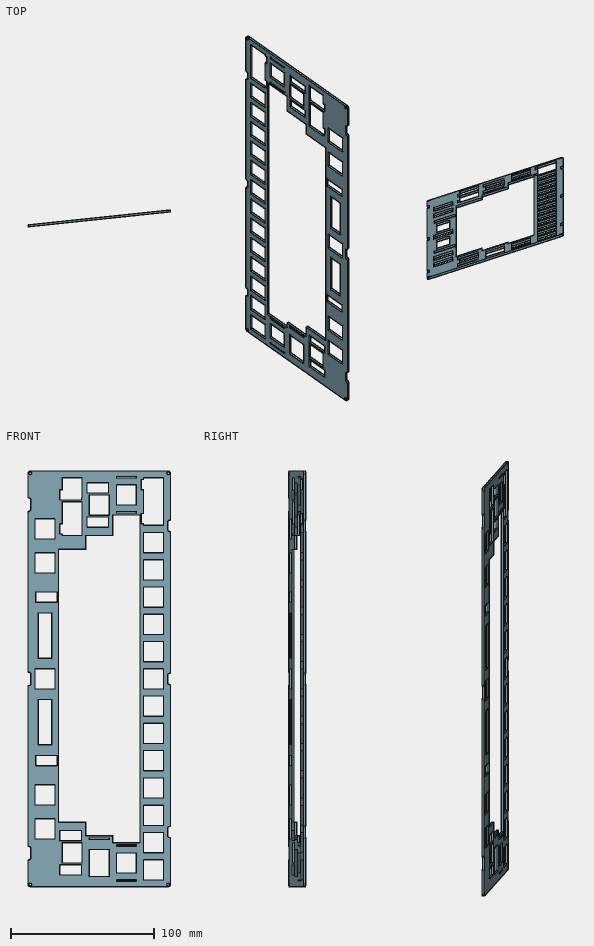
import cadquery as cq


LENGTH = 290.5
MARGIN = 2.38
THICKNESS = 1.5
TILT = 6.0
LENGTH_IN_KEYS = 15
ROW_COUNT = 5
CORNER_RADIUS = 1.9
CORNER_HOLE_DIAMETER = 1.85
CORNER_HOLE_INSET = 1.6

TAB_KEY = 3 / 2
CAPS_KEY = 7 / 4
STEPPED_CAPS_KEY = 5 / 4
ENTER_KEY = 9 / 4
LEFT_SHIFT_KEY = 9 / 4
RIGHT_SHIFT_KEY = 11 / 4
SPLIT_SHIFT_KEY = 7 / 4
BACKSPACE_KEY = 2
SINGLE_KEY = 1
BOTTOM_CORNER_KEY = 3 / 2
INNER_MODIFIER_KEY = 3 / 2

SWITCH = 14.0
STABILIZER_X = 15.0
STABILIZER_Z = 7.0
STABILIZER_SHIFT = 1.05
STABILIZER_OFFSET = 12.0

SPACEBAR_WINDOW_X = 9.5
SPACEBAR_WINDOW_Z = 31.5
SPACEBAR_WINDOW_OFFSET = 30.2

FLEX_SLOT_Z = 1.0
FLEX_SLOT_INSET = 2.0

NOTCH_RADIUS = 0.93
NOTCH_DEPTH = 2 * NOTCH_RADIUS
LEFT_NOTCH_LENGTH = 9.0
LEFT_NOTCH_OFFSET = 121.7
RIGHT_NOTCH_LENGTH = 7.5
RIGHT_NOTCH_OFFSET = 107.0

PITCH = (LENGTH - 2 * MARGIN) / LENGTH_IN_KEYS
WIDTH = ROW_COUNT * PITCH + 2 * MARGIN
SPACEBAR_STABILIZER_OFFSET = 3 * PITCH
CUT_DEPTH = 4 * THICKNESS

SPACE_ROW, SHIFT_ROW, HOME_ROW, TAB_ROW, NUMBER_ROW = [
    (row - (ROW_COUNT - 1) / 2) * PITCH for row in range(ROW_COUNT)
]


def key_centre(length, beyond=0):
    """Distance from plate centre to a key's centre, with other keys taking up the space beyond it."""
    return LENGTH_IN_KEYS / 2 - beyond - length / 2


def inner_edge(length):
    """Distance from plate centre to the inner edge of the end key of a row."""
    return LENGTH_IN_KEYS / 2 - length


def cutter(x, z, size_x, size_z):
    """Block through the plate, centred at (x, z)."""
    return cq.Workplane("XY").box(size_x, CUT_DEPTH, size_z).translate((x, 0, z))


def switch_hole(row, first_key, last_key=None):
    """Switch hole at a key position, stretched to a second position if given (in key units)."""
    last_key = first_key if last_key is None else last_key
    middle = (first_key + last_key) / 2 * PITCH
    return cutter(row, middle, SWITCH, abs(last_key - first_key) * PITCH + SWITCH)


def stabilizer_holes(row, key, offset, shift):
    """Pair of stabilizer holes on either side of a wide key."""
    return [
        cutter(row + shift, key * PITCH + side * offset, STABILIZER_X, STABILIZER_Z)
        for side in (-1, 1)
    ]


def flex_slot(row, boundary, direction):
    """Thin slot beside a key boundary, set in toward the given Z direction."""
    return cutter(row, boundary * PITCH + direction * FLEX_SLOT_INSET, SWITCH, FLEX_SLOT_Z)


def edge_notches(side, length, offset):
    """Three notches in the -X (side -1) or +X (side 1) edge.

    Each end is an S-curve of two quarter arcs; the length is measured at mid-depth.
    """
    edge = side * WIDTH / 2
    mid_depth = edge - side * NOTCH_RADIUS
    floor = edge - side * NOTCH_DEPTH
    half = length / 2
    notch = (
        cq.Workplane("XZ", origin=(0, CUT_DEPTH / 2, 0))
        .moveTo(floor, 0)
        .lineTo(floor, half - NOTCH_RADIUS)
        .tangentArcPoint((mid_depth, half), relative=False)
        .tangentArcPoint((edge, half + NOTCH_RADIUS), relative=False)
        .lineTo(edge, 0)
        .mirrorX()
        .extrude(CUT_DEPTH)
    )
    return [notch.translate((0, 0, z)) for z in (-offset, 0, offset)]


def central_opening():
    """Stepped opening over the letter keys; each row has its own lower and upper key limit."""
    limits = [
        (SHIFT_ROW, -inner_edge(LEFT_SHIFT_KEY), inner_edge(RIGHT_SHIFT_KEY)),
        (HOME_ROW, -inner_edge(CAPS_KEY), inner_edge(ENTER_KEY)),
        (TAB_ROW, -inner_edge(TAB_KEY), inner_edge(TAB_KEY)),
    ]
    return [
        cutter(row, (low + high) / 2 * PITCH, PITCH, (high - low) * PITCH)
        for row, low, high in limits
    ]


cutters = central_opening()

cutters += [switch_hole(NUMBER_ROW, key) for key in range(-7, 6)]
cutters += [switch_hole(NUMBER_ROW, 6, 7)]
backspace = key_centre(BACKSPACE_KEY)
cutters += stabilizer_holes(NUMBER_ROW, backspace, STABILIZER_OFFSET, -STABILIZER_SHIFT)

for key in (-key_centre(TAB_KEY), key_centre(TAB_KEY)):
    cutters.append(switch_hole(TAB_ROW, key))
    cutters.append(flex_slot(TAB_ROW, key - TAB_KEY / 2, 1))
    cutters.append(flex_slot(TAB_ROW, key + TAB_KEY / 2, -1))

cutters.append(switch_hole(HOME_ROW, -key_centre(STEPPED_CAPS_KEY), -key_centre(CAPS_KEY)))
cutters.append(flex_slot(HOME_ROW, -inner_edge(CAPS_KEY), -1))
enter = key_centre(ENTER_KEY)
cutters.append(switch_hole(HOME_ROW, enter))
cutters += stabilizer_holes(HOME_ROW, enter, STABILIZER_OFFSET, -STABILIZER_SHIFT)

left_shift = -key_centre(LEFT_SHIFT_KEY)
cutters.append(switch_hole(SHIFT_ROW, left_shift))
cutters += stabilizer_holes(SHIFT_ROW, left_shift, STABILIZER_OFFSET, -STABILIZER_SHIFT)
right_shift = key_centre(RIGHT_SHIFT_KEY)
split_shift = key_centre(SPLIT_SHIFT_KEY, beyond=SINGLE_KEY)
cutters.append(switch_hole(SHIFT_ROW, key_centre(SINGLE_KEY)))
cutters.append(switch_hole(SHIFT_ROW, split_shift, right_shift))
cutters += stabilizer_holes(SHIFT_ROW, right_shift, STABILIZER_OFFSET, -STABILIZER_SHIFT)

cutters.append(switch_hole(SPACE_ROW, 0))
cutters += stabilizer_holes(SPACE_ROW, 0, SPACEBAR_STABILIZER_OFFSET, STABILIZER_SHIFT)
outer_modifier = key_centre(SINGLE_KEY, beyond=BOTTOM_CORNER_KEY)
inner_modifier = key_centre(INNER_MODIFIER_KEY, beyond=BOTTOM_CORNER_KEY + SINGLE_KEY)
for side in (-1, 1):
    cutters.append(switch_hole(SPACE_ROW, side * outer_modifier))
    cutters.append(switch_hole(SPACE_ROW, side * inner_modifier))
    cutters.append(
        cutter(SPACE_ROW, side * SPACEBAR_WINDOW_OFFSET, SPACEBAR_WINDOW_X, SPACEBAR_WINDOW_Z)
    )

cutters += edge_notches(-1, LEFT_NOTCH_LENGTH, LEFT_NOTCH_OFFSET)
cutters += edge_notches(1, RIGHT_NOTCH_LENGTH, RIGHT_NOTCH_OFFSET)

corner_x = WIDTH / 2 - CORNER_HOLE_INSET
corner_z = LENGTH / 2 - CORNER_HOLE_INSET
cutters.append(
    cq.Workplane("XZ", origin=(0, CUT_DEPTH / 2, 0))
    .rect(2 * corner_x, 2 * corner_z, forConstruction=True)
    .vertices()
    .circle(CORNER_HOLE_DIAMETER / 2)
    .extrude(CUT_DEPTH)
)

plate = cq.Workplane("XY").box(WIDTH, THICKNESS, LENGTH).edges("|Y").fillet(CORNER_RADIUS)
for tool in cutters:
    plate = plate.cut(tool)

result = plate.rotate((0, 0, 0), (0, 0, 1), TILT)